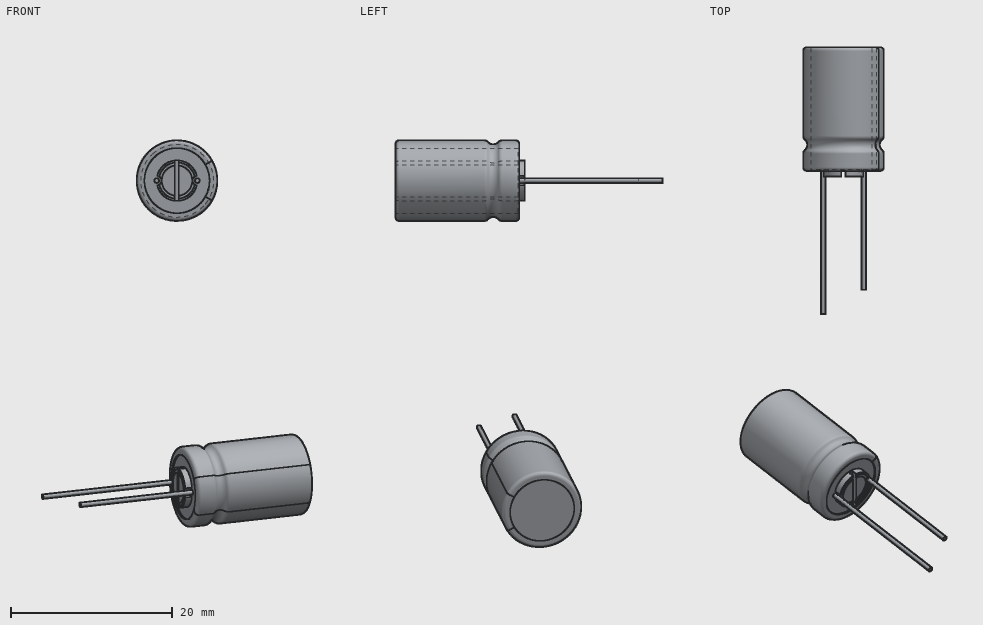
import cadquery as cq
import math

overall_length = 33.0

sleeve_diameter = 10.0
sleeve_radius = sleeve_diameter / 2
sleeve_length = 15.3
rim_fillet = 0.45
groove_center = 3.25
groove_depth = 0.5
groove_half_width = 1.1
valley_half_width = 0.65
stripe_half_angle = 29.5
core_radius = 4.03
core_setback = 0.2
boss_radius = 2.5
boss_end = -0.7
recess_outer_radius = 2.25
recess_inner_radius = 1.88
recess_depth = 0.1
slot_width = 0.5
lead_offset = boss_radius
lead_radius = 0.3
lead_notch_radius = 0.6
lead_length_difference = 3.0
long_lead_length = overall_length - sleeve_length
short_lead_length = long_lead_length - lead_length_difference


def cylinder_y(radius, y_start, y_end, x=0):
    """Cylinder parallel to Y between two y positions."""
    return (
        cq.Workplane("XZ", origin=(x, y_start, 0))
        .circle(radius)
        .extrude(y_start - y_end)
    )


def shell_sector(start_angle, sweep_angle):
    """Sector of the grooved sleeve wall; angles run about Y, from +X toward -Z."""
    turn = 2 * math.atan(groove_depth / groove_half_width)
    valley_arc = valley_half_width / math.sin(turn)
    shoulder_arc = (groove_half_width - valley_half_width) / math.sin(turn)
    valley_radius = sleeve_radius - groove_depth
    meet_radius = valley_radius + valley_arc * (1 - math.cos(turn))
    shoulder_mid_radius = sleeve_radius - shoulder_arc * (1 - math.cos(turn / 2))
    shoulder_mid_offset = groove_half_width - shoulder_arc * math.sin(turn / 2)
    fillet_mid = rim_fillet * (1 - math.sqrt(0.5))
    face_radius = sleeve_radius - rim_fillet

    profile = (
        cq.Workplane("XY")
        .moveTo(core_radius, 0)
        .lineTo(face_radius, 0)
        .threePointArc((sleeve_radius - fillet_mid, fillet_mid), (sleeve_radius, rim_fillet))
        .lineTo(sleeve_radius, groove_center - groove_half_width)
        .threePointArc(
            (shoulder_mid_radius, groove_center - shoulder_mid_offset),
            (meet_radius, groove_center - valley_half_width),
        )
        .threePointArc(
            (valley_radius, groove_center),
            (meet_radius, groove_center + valley_half_width),
        )
        .threePointArc(
            (shoulder_mid_radius, groove_center + shoulder_mid_offset),
            (sleeve_radius, groove_center + groove_half_width),
        )
        .lineTo(sleeve_radius, sleeve_length - rim_fillet)
        .threePointArc(
            (sleeve_radius - fillet_mid, sleeve_length - fillet_mid),
            (face_radius, sleeve_length),
        )
        .lineTo(core_radius, sleeve_length)
        .close()
    )
    sector = profile.revolve(sweep_angle, (0, 0, 0), (0, 1, 0))
    return sector.rotate((0, 0, 0), (0, 1, 0), start_angle)


def make_core():
    """Core filling the sleeve, with a slotted boss notched around the leads."""
    boss = cylinder_y(boss_radius, core_setback, boss_end)
    ring_floor = boss_end + recess_depth
    ring_recess = cylinder_y(recess_outer_radius, ring_floor, boss_end).cut(
        cylinder_y(recess_inner_radius, ring_floor, boss_end)
    )
    boss = boss.cut(ring_recess)

    slot_depth = -boss_end
    slot = cq.Workplane("XY").box(slot_width, slot_depth, 2 * boss_radius).translate(
        (0, boss_end + slot_depth / 2, 0)
    )
    boss = boss.cut(slot)
    for side in (-1, 1):
        boss = boss.cut(cylinder_y(lead_notch_radius, core_setback, boss_end, side * lead_offset))
    return cylinder_y(core_radius, sleeve_length, core_setback).union(boss)


def make_lead(x, length):
    """Round lead butting against the face of the core."""
    return cylinder_y(lead_radius, core_setback, -length, x)


sleeve = shell_sector(stripe_half_angle, 360 - 2 * stripe_half_angle)
stripe = shell_sector(-stripe_half_angle, 2 * stripe_half_angle)
core = make_core()
leads = [
    make_lead(x, length)
    for x, length in ((-lead_offset, long_lead_length), (lead_offset, short_lead_length))
]

result = cq.Compound.makeCompound(
    [sleeve.val(), stripe.val(), core.val(), *[lead.val() for lead in leads]]
)